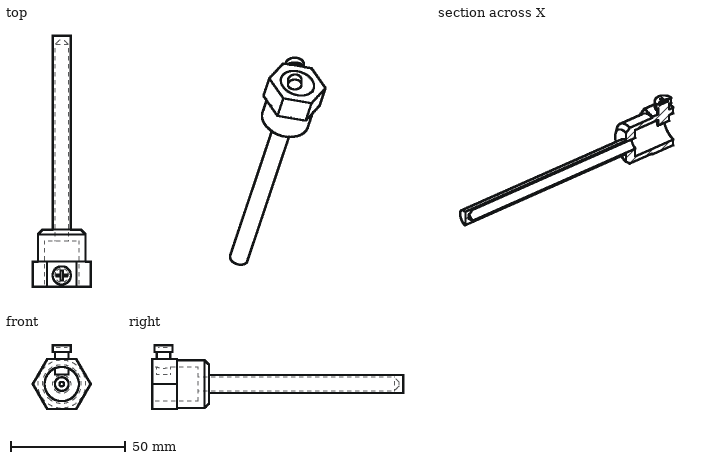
import cadquery as cq
import math

TOTAL_LENGTH = 110.0

HEX_ACROSS_FLATS = 22.0
HEX_ACROSS_CORNERS = HEX_ACROSS_FLATS / math.cos(math.pi / 6)
HEX_LENGTH = 11.0

COLLAR_DIAMETER = 21.0
COLLAR_END = 25.0
COLLAR_CHAMFER = 2.0

STEM_DIAMETER = 8.0

SOCKET_DIAMETER = 15.0
SOCKET_DEPTH = 20.0
STEM_BORE_DIAMETER = 6.0
BORE_TIP_DIAMETER = 2.0
BORE_TIP_LENGTH = (STEM_BORE_DIAMETER - BORE_TIP_DIAMETER) / 2
STEM_END_THICKNESS = 2.0

SCREW_Y = 5.0
SCREW_TOP = 17.0
SCREW_SHANK_BOTTOM = 4.2
SCREW_SHANK_DIAMETER = 6.0
SCREW_HEAD_DIAMETER = 8.0
SCREW_HEAD_HEIGHT = 3.0
CROSS_LENGTH = 4.4
CROSS_WIDTH = 1.0
CROSS_DEPTH = 1.0


def cylinder_along_y(diameter, y_start, y_end):
    """Cylinder on the sleeve axis from y_start to y_end."""
    plane = cq.Workplane("XZ", origin=(0, y_start, 0))
    return plane.circle(diameter / 2).extrude(y_start - y_end)


def cylinder_along_screw(diameter, z_bottom, z_top):
    """Cylinder on the screw axis from z_bottom to z_top."""
    plane = cq.Workplane("XY", origin=(0, SCREW_Y, z_bottom))
    return plane.circle(diameter / 2).extrude(z_top - z_bottom)


def make_body():
    """Hexagon, chamfered collar and stem, still solid."""
    hexagon = cq.Workplane("XZ").polygon(6, HEX_ACROSS_CORNERS).extrude(-HEX_LENGTH)
    collar = cylinder_along_y(COLLAR_DIAMETER, 0, COLLAR_END).faces(">Y").chamfer(COLLAR_CHAMFER)
    stem = cylinder_along_y(STEM_DIAMETER, 0, TOTAL_LENGTH)
    return hexagon.union(collar).union(stem)


def make_bore():
    """Wide socket, then the narrow stem bore ending in a flat-tipped taper."""
    bore_end = TOTAL_LENGTH - STEM_END_THICKNESS
    taper_start = bore_end - BORE_TIP_LENGTH
    profile = [
        (0, 0),
        (SOCKET_DIAMETER / 2, 0),
        (SOCKET_DIAMETER / 2, SOCKET_DEPTH),
        (STEM_BORE_DIAMETER / 2, SOCKET_DEPTH),
        (STEM_BORE_DIAMETER / 2, taper_start),
        (BORE_TIP_DIAMETER / 2, bore_end),
        (0, bore_end),
    ]
    return cq.Workplane("XY").polyline(profile).close().revolve(360, (0, 0, 0), (0, 1, 0))


def make_screw():
    """Clamping screw with a cross recess in its head."""
    head_bottom = SCREW_TOP - SCREW_HEAD_HEIGHT
    shank = cylinder_along_screw(SCREW_SHANK_DIAMETER, SCREW_SHANK_BOTTOM, head_bottom)
    head = cylinder_along_screw(SCREW_HEAD_DIAMETER, head_bottom, SCREW_TOP)
    screw = shank.union(head)
    recess_plane = cq.Workplane("XY", origin=(0, SCREW_Y, SCREW_TOP))
    for size_x, size_y in ((CROSS_LENGTH, CROSS_WIDTH), (CROSS_WIDTH, CROSS_LENGTH)):
        screw = screw.cut(recess_plane.rect(size_x, size_y).extrude(-CROSS_DEPTH))
    return screw


result = make_body().cut(make_bore()).union(make_screw())